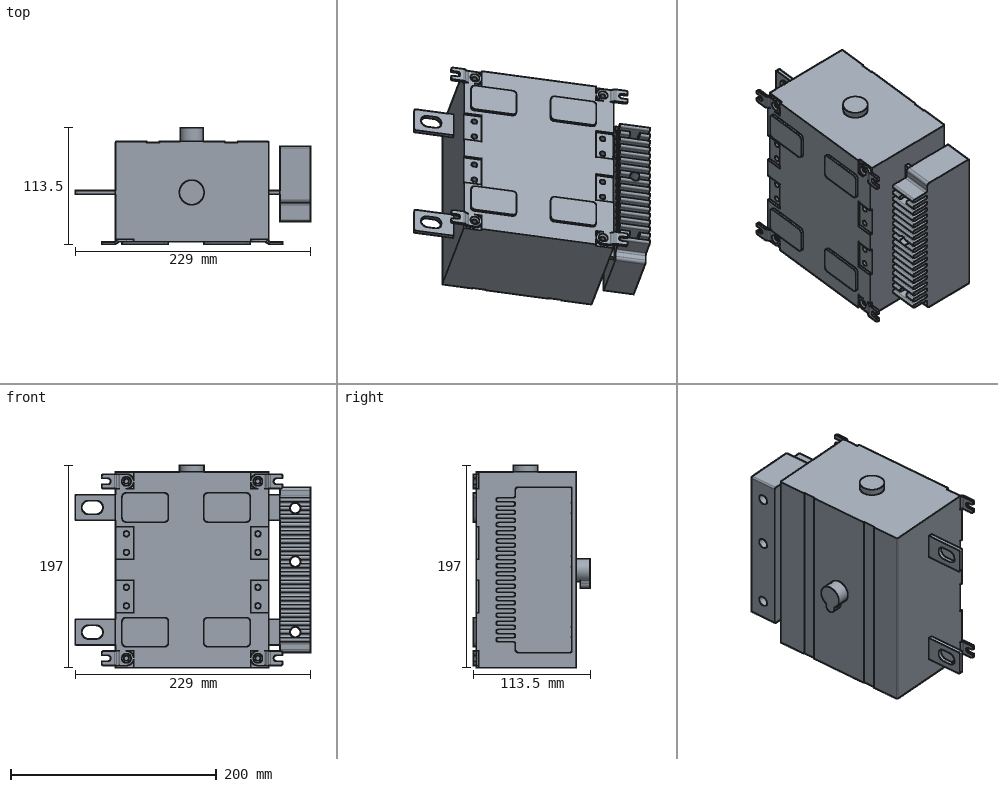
import cadquery as cq
import math


body_width = 149.0
body_height = 190.5
front_y = -48.0
back_y = 49.5
back_edge_radius = 1.0
half_width = body_width / 2
half_height = body_height / 2

groove_width = 12.5
groove_depth = 0.8
groove_x = 38.0

recess_depth = 2.5
recess_width = 17.6
side_recess_height = 31.5
side_recess_z = 26.0
blind_hole_depth = 10.0
side_hole_diameter = 5.5
side_hole_pitch = 18.0

foot_z = 86.0
foot_width = 14.2
foot_end_x = 88.0
foot_thickness = recess_depth
foot_end_overlap = 0.1
hole_x = half_width - recess_width + foot_width / 2 - foot_end_overlap
foot_bend_x = 74.7
foot_bend_angle = math.radians(35.0)
foot_inner_bend_radius = 1.0
foot_outer_bend_radius = foot_inner_bend_radius + foot_thickness
fork_slot_width = 5.6
fork_slot_bottom_x = 79.3
fork_outer_radius = 2.0
fork_inner_radius = 1.0
foot_hole_diameter = 5.0
countersink_diameter = 9.0
countersink_angle = 90.0

pad_width = 45.2
pad_height = 28.3
pad_thickness = 2.5
pad_radius = 4.0
pad_left_x = -45.6
pad_right_x = 33.9
pad_z = 60.6

busbar_height = 25.2
busbar_thickness = 4.0
busbar_z = pad_z
busbar_left_x = -113.8
busbar_corner_radius = 1.5
busbar_slot_length = 20.4
busbar_slot_height = 13.0
busbar_slot_x = -97.0

block_left_x = 85.3
block_width = 29.9
block_height = 160.8
block_back_y = 45.0
block_front_y = -9.9
block_edge_radius = 3.0
block_back_edge_radius = 1.5
fin_count = 18
fin_pitch = 8.0
fin_thickness = fin_pitch / 2
fin_tip_y = -28.4
fin_root_y = block_front_y
end_fin_fillet = 2.0
block_hole_diameter = 10.0
block_hole_levels = (60.0, 8.0, -60.5)

control_x = -0.4
knob_z = -0.4

button_diameter = 24.0
button_height = 6.5

knob_diameter = 22.6
knob_height = 13.5
lever_thickness = 9.8
lever_width = 10.0
lever_reach = 17.6
lever_fillet = 1.5


def block(x_range, y_range, z_range):
    """Rectangular solid between the given limits."""
    (x0, x1), (y0, y1), (z0, z1) = x_range, y_range, z_range
    return cq.Workplane("XY").box(x1 - x0, y1 - y0, z1 - z0, centered=False).translate((x0, y0, z0))


def facing_front(y):
    """XZ sketch plane at the given Y; extruding goes toward -Y."""
    return cq.Workplane("XZ", origin=(0, y, 0))


def at_four_corners(solid):
    """The solid together with its mirror images in X, in Z and in both."""
    pair = solid.union(solid.mirror("YZ"))
    return pair.union(pair.mirror("XY"))


def make_body():
    """Plain box with rounded rear side edges and two grooves in its back."""
    body = block((-half_width, half_width), (front_y, back_y), (-half_height, half_height))
    body = body.edges("|Z and >Y").fillet(back_edge_radius)
    for x in (-groove_x, groove_x):
        x_range = (x - groove_width / 2, x + groove_width / 2)
        body = body.cut(block(x_range, (back_y - groove_depth, back_y), (-half_height, half_height)))
    return body


def recess_tool():
    """Everything removed from the mounting face at the upper left quarter of the body."""
    x_range = (-half_width, -half_width + recess_width)
    floor_y = front_y + recess_depth
    y_range = (front_y, floor_y)
    side_z_range = (side_recess_z - side_recess_height / 2, side_recess_z + side_recess_height / 2)
    corner_z_range = (foot_z - foot_width / 2, half_height)
    side = block(x_range, y_range, side_z_range)
    corner = block(x_range, y_range, corner_z_range)
    hole_centres = [(-hole_x, side_recess_z + step * side_hole_pitch / 2) for step in (-1, 1)]
    holes = facing_front(floor_y).pushPoints(hole_centres).circle(side_hole_diameter / 2)
    return side.union(corner).union(holes.extrude(-blind_hole_depth))


def make_foot():
    """Foot at the upper left corner, its inner end flush in the corner recess."""
    plate_back_y = front_y + foot_thickness
    outer_front_y = front_y - foot_thickness
    round_end_x = -hole_x + foot_width / 2
    back_shift = foot_thickness * math.tan(foot_bend_angle / 2)
    step = foot_thickness / math.tan(foot_bend_angle)

    front_bend_x = -foot_bend_x
    back_bend_x = front_bend_x - back_shift
    profile = [
        (-foot_end_x, outer_front_y),
        (front_bend_x, outer_front_y),
        (front_bend_x + step, front_y),
        (round_end_x, front_y),
        (round_end_x, plate_back_y),
        (back_bend_x + step, plate_back_y),
        (back_bend_x, front_y),
        (-foot_end_x, front_y),
    ]
    sheet = cq.Workplane("XY", origin=(0, 0, foot_z - foot_width / 2)).polyline(profile).close()
    sheet = sheet.extrude(foot_width)
    for bend_x, bend_y, radius in (
        (front_bend_x, outer_front_y, foot_outer_bend_radius),
        (front_bend_x + step, front_y, foot_inner_bend_radius),
        (back_bend_x + step, plate_back_y, foot_outer_bend_radius),
        (back_bend_x, front_y, foot_inner_bend_radius),
    ):
        edge = cq.selectors.NearestToPointSelector((bend_x, bend_y, foot_z))
        sheet = sheet.edges("|Z").edges(edge).fillet(radius)

    half = foot_width / 2
    slot_half = fork_slot_width / 2
    slot_centre_x = -fork_slot_bottom_x - slot_half
    outline = (
        facing_front(plate_back_y)
        .moveTo(-foot_end_x, foot_z + half)
        .lineTo(-hole_x, foot_z + half)
        .threePointArc((round_end_x, foot_z), (-hole_x, foot_z - half))
        .lineTo(-foot_end_x, foot_z - half)
        .lineTo(-foot_end_x, foot_z - slot_half)
        .lineTo(slot_centre_x, foot_z - slot_half)
        .threePointArc((-fork_slot_bottom_x, foot_z), (slot_centre_x, foot_z + slot_half))
        .lineTo(-foot_end_x, foot_z + slot_half)
        .close()
        .extrude(plate_back_y - outer_front_y)
    )
    for side in (-1, 1):
        for offset, radius in ((half, fork_outer_radius), (slot_half, fork_inner_radius)):
            corner = cq.selectors.NearestToPointSelector((-foot_end_x, front_y, foot_z + side * offset))
            outline = outline.edges("|Y").edges(corner).fillet(radius)
    return sheet.intersect(outline)


def foot_hole_tool():
    """Countersunk blind hole through the upper left foot into the body."""
    return (
        facing_front(front_y)
        .center(-hole_x, foot_z)
        .circle(foot_hole_diameter / 2)
        .extrude(-blind_hole_depth)
        .union(countersink_cone())
    )


def countersink_cone():
    """Cone narrowing from the face of the upper left foot to its hole."""
    hole_radius = foot_hole_diameter / 2
    mouth_radius = countersink_diameter / 2
    depth = (mouth_radius - hole_radius) / math.tan(math.radians(countersink_angle / 2))
    cone = cq.Solid.makeCone(
        mouth_radius, hole_radius, depth, cq.Vector(-hole_x, front_y, foot_z), cq.Vector(0, 1, 0)
    )
    return cq.Workplane(cone)


def make_pads():
    """Four rounded rectangular pads on the mounting face."""
    centres = [(x, z) for x in (pad_left_x, pad_right_x) for z in (-pad_z, pad_z)]
    pads = facing_front(front_y).pushPoints(centres).rect(pad_width, pad_height).extrude(pad_thickness)
    return pads.edges("|Y").fillet(pad_radius)


def make_busbar(z):
    """Flat bar through the body, slotted at its free left end."""
    z_range = (z - busbar_height / 2, z + busbar_height / 2)
    y_range = (-busbar_thickness / 2, busbar_thickness / 2)
    bar = block((busbar_left_x, block_left_x), y_range, z_range)
    bar = bar.edges("|Y and <X").fillet(busbar_corner_radius)
    slot = facing_front(busbar_thickness / 2).center(busbar_slot_x, z)
    slot = slot.slot2D(busbar_slot_length, busbar_slot_height).extrude(busbar_thickness)
    return bar.cut(slot)


def make_finned_block():
    """Block with a comb of round-tipped fins and round-bottomed gaps toward -Y."""
    fin_radius = fin_thickness / 2
    gap_radius = (fin_pitch - fin_thickness) / 2
    comb_half = ((fin_count - 1) * fin_pitch + fin_thickness) / 2
    block_half = block_height / 2

    outline = cq.Workplane("YZ", origin=(block_left_x, 0, 0))
    outline = outline.moveTo(block_back_y, block_half).lineTo(block_front_y, block_half)
    outline = outline.lineTo(block_front_y, comb_half)
    for index in range(fin_count):
        fin_top = comb_half - index * fin_pitch
        fin_bottom = fin_top - fin_thickness
        outline = outline.lineTo(fin_tip_y + fin_radius, fin_top)
        outline = outline.threePointArc(
            (fin_tip_y, fin_top - fin_radius), (fin_tip_y + fin_radius, fin_bottom)
        )
        if index < fin_count - 1:
            outline = outline.lineTo(fin_root_y - gap_radius, fin_bottom)
            outline = outline.threePointArc(
                (fin_root_y, fin_bottom - gap_radius),
                (fin_root_y - gap_radius, fin_bottom - 2 * gap_radius),
            )
    outline = outline.lineTo(block_front_y, -comb_half).lineTo(block_front_y, -block_half)
    finned = outline.lineTo(block_back_y, -block_half).close().extrude(block_width)

    finned = finned.edges("|X and >Y").fillet(block_back_edge_radius)
    centre_x = block_left_x + block_width / 2
    for side in (-1, 1):
        for level, radius in ((block_half, block_edge_radius), (comb_half, end_fin_fillet)):
            edge = cq.selectors.NearestToPointSelector((centre_x, block_front_y, side * level))
            finned = finned.edges("|X").edges(edge).fillet(radius)

    hole_centres = [(centre_x, z) for z in block_hole_levels]
    holes = facing_front(block_back_y).pushPoints(hole_centres).circle(block_hole_diameter / 2)
    return finned.cut(holes.extrude(block_back_y - fin_tip_y))


def make_button():
    """Disc on the top face."""
    top_face = cq.Workplane("XY", origin=(control_x, 0, half_height))
    return top_face.circle(button_diameter / 2).extrude(button_height)


def make_knob():
    """Round knob with a round-ended lever pointing down from its outer part."""
    radius = knob_diameter / 2
    tip_z = lever_width / 2 - lever_reach
    inner_face = facing_front(back_y).center(control_x, knob_z)
    outer_face = facing_front(back_y + knob_height).center(control_x, knob_z)

    lever = outer_face.circle(radius).extrude(lever_thickness)
    bar = outer_face.center(0, tip_z / 2).rect(lever_width, -tip_z).extrude(lever_thickness)
    lever = lever.union(bar)
    junction_z = knob_z - math.sqrt(radius**2 - (lever_width / 2) ** 2)
    for side in (-1, 1):
        junction = (control_x + side * lever_width / 2, back_y + knob_height, junction_z)
        edge = cq.selectors.NearestToPointSelector(junction)
        lever = lever.edges("|Y").edges(edge).fillet(lever_fillet)
    tip = outer_face.center(0, tip_z).circle(lever_width / 2).extrude(lever_thickness)
    return inner_face.circle(radius).extrude(-knob_height).union(lever).union(tip)


result = make_body().cut(at_four_corners(recess_tool()))
result = result.union(at_four_corners(make_foot()))
result = result.cut(at_four_corners(foot_hole_tool()))
result = result.union(make_pads())
for level in (-busbar_z, busbar_z):
    result = result.union(make_busbar(level))
result = result.union(make_finned_block()).union(make_button()).union(make_knob())